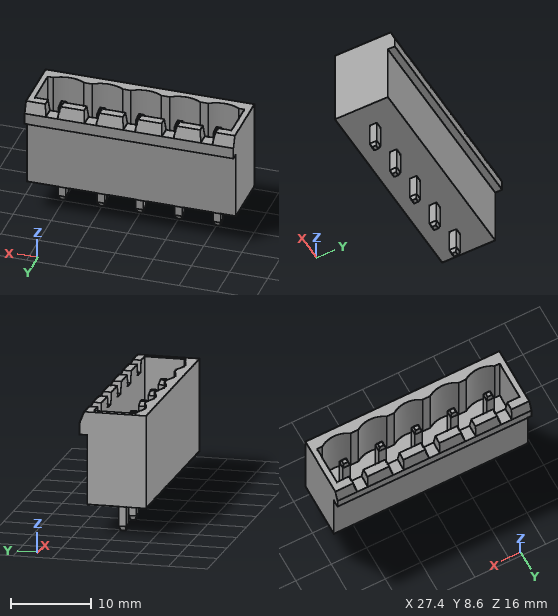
import cadquery as cq

contact_count = 5
contact_pitch = 5.08
contact_xs = [(i - (contact_count - 1) / 2) * contact_pitch for i in range(contact_count)]

housing_length = 27.4
housing_height = 12.0
overall_depth = 8.6
lip_overhang = 1.0
lip_height = 3.0
lip_chamfer_depth = 0.6
lip_chamfer_height = 1.5
housing_depth = overall_depth - lip_overhang

end_wall = 0.8
front_wall = 1.6
rear_wall = 0.7
cavity_depth = 8.5
cavity_floor = housing_height - cavity_depth
cavity_length = housing_length - 2 * end_wall
cavity_rear = housing_depth - rear_wall
scallop_depth = 0.6
scallop_chord = 4.0

notch_top_width = 2.0
notch_bottom_width = 1.5
notch_depth = 1.5

pin_width = 1.0
pin_tip_width = 0.6
pin_tip_length = 0.6
pin_y = 3.8
pin_tail_length = 4.0
pin_top = 10.0


def make_housing():
    """Side profile with the chamfered rear lip, extruded along x."""
    profile = [
        (0, 0),
        (housing_depth, 0),
        (housing_depth, housing_height - lip_height),
        (overall_depth, housing_height - lip_height),
        (overall_depth, housing_height - lip_chamfer_height),
        (overall_depth - lip_chamfer_depth, housing_height),
        (0, housing_height),
    ]
    return cq.Workplane("YZ").polyline(profile).close().extrude(housing_length / 2, both=True)


def make_cavity():
    """Rectangular pocket whose front edge bulges forward in an arc at each contact."""
    outline = cq.Workplane("XY", origin=(0, 0, cavity_floor)).moveTo(-cavity_length / 2, front_wall)
    for x in contact_xs:
        outline = outline.lineTo(x - scallop_chord / 2, front_wall)
        outline = outline.threePointArc(
            (x, front_wall - scallop_depth),
            (x + scallop_chord / 2, front_wall),
        )
    outline = outline.lineTo(cavity_length / 2, front_wall)
    outline = outline.lineTo(cavity_length / 2, cavity_rear)
    outline = outline.lineTo(-cavity_length / 2, cavity_rear)
    return outline.close().extrude(cavity_depth)


def make_notch(x):
    """Trapezoidal notch cut from the cavity back through the lip."""
    notch_floor = housing_height - notch_depth
    profile = [
        (x - notch_bottom_width / 2, notch_floor),
        (x + notch_bottom_width / 2, notch_floor),
        (x + notch_top_width / 2, housing_height),
        (x - notch_top_width / 2, housing_height),
    ]
    plane = cq.Workplane("XZ", origin=(0, overall_depth, 0))
    return plane.polyline(profile).close().extrude(overall_depth - cavity_rear)


def make_pin_tip(x, shoulder_z, direction):
    """Square taper from the pin section down to the tip; direction is +1 up, -1 down."""
    return (
        cq.Workplane("XY", origin=(x, pin_y, shoulder_z))
        .rect(pin_width, pin_width)
        .workplane(offset=direction * pin_tip_length)
        .rect(pin_tip_width, pin_tip_width)
        .loft(ruled=True)
    )


def make_pin(x):
    """Full-length pin: contact blade in the cavity, solder tail below the housing."""
    lower_shoulder = -pin_tail_length + pin_tip_length
    upper_shoulder = pin_top - pin_tip_length
    shank = (
        cq.Workplane("XY", origin=(x, pin_y, lower_shoulder))
        .rect(pin_width, pin_width)
        .extrude(upper_shoulder - lower_shoulder)
    )
    return shank.union(make_pin_tip(x, upper_shoulder, 1)).union(make_pin_tip(x, lower_shoulder, -1))


result = make_housing().cut(make_cavity())
for contact_x in contact_xs:
    result = result.cut(make_notch(contact_x))
for contact_x in contact_xs:
    result = result.union(make_pin(contact_x))